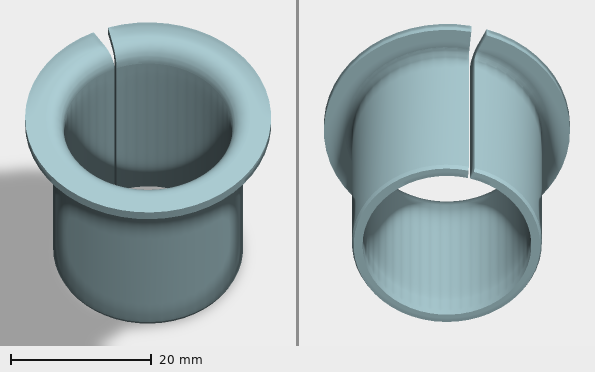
import cadquery as cq
import math

flange_diameter = 34.98
bore_diameter = 24.0
wall = 1.5
height = 30.0
neck_outer_radius = 1.0
chamfer_height = 0.63
chamfer_depth = 0.25
gap_half_width = 1.12
gap_half_angle = 10.0

flange_radius = flange_diameter / 2
bore_radius = bore_diameter / 2
barrel_radius = bore_radius + wall
neck_inner_radius = neck_outer_radius + wall
flange_underside = height - wall

neck_center_x = barrel_radius + neck_outer_radius
neck_center_z = flange_underside - neck_outer_radius


def neck_midpoint(radius):
    """Middle of the quarter arc that turns the barrel wall into the flange."""
    offset = radius * math.sqrt(0.5)
    return (neck_center_x - offset, neck_center_z + offset)


def flanged_sleeve():
    """Revolve the wall section around Z, with the seam turned to -X where the split removes it."""
    return (
        cq.Workplane("XZ")
        .moveTo(bore_radius, 0)
        .lineTo(barrel_radius - chamfer_depth, 0)
        .lineTo(barrel_radius, chamfer_height)
        .lineTo(barrel_radius, neck_center_z)
        .threePointArc(neck_midpoint(neck_outer_radius), (neck_center_x, flange_underside))
        .lineTo(flange_radius, flange_underside)
        .lineTo(flange_radius, height)
        .lineTo(neck_center_x, height)
        .threePointArc(neck_midpoint(neck_inner_radius), (bore_radius, neck_center_z))
        .close()
        .revolve(360, (0, 0, 0), (0, 1, 0))
        .rotate((0, 0, 0), (0, 0, 1), 180)
    )


def split_wedge():
    """Wedge on the -X side, narrowing from the flange rim to an apex inside the bore."""
    slope = math.tan(math.radians(gap_half_angle))
    rim_x = -math.sqrt(flange_radius**2 - gap_half_width**2)
    apex_x = rim_x + gap_half_width / slope
    outer_x = -flange_diameter
    outer_half_width = (apex_x - outer_x) * slope
    return (
        cq.Workplane("XY")
        .polyline([(apex_x, 0), (outer_x, outer_half_width), (outer_x, -outer_half_width)])
        .close()
        .extrude(height)
    )


result = flanged_sleeve().cut(split_wedge())